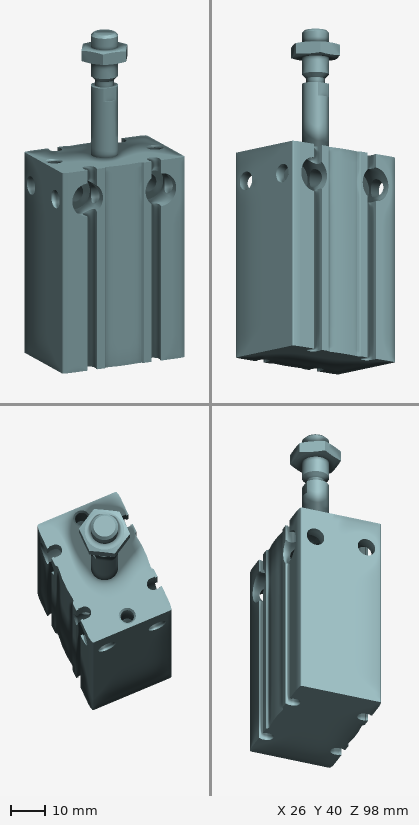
import cadquery as cq
import math

BODY_X = 26.0
BODY_Y = 40.0
BODY_HEIGHT = 61.0
HALF_X = BODY_X / 2
HALF_Y = BODY_Y / 2

EDGE_INSET = 0.4
EASE_START_Y = 17.4
CORNER_RADIUS = 0.5

RECESS_HALF_WIDTH = 6.4
RECESS_SHOULDER_Y = 5.9
RECESS_SHOULDER_DEPTH = 0.5
RECESS_FLOOR_Y = 5.3
RECESS_DEPTH = 0.6
RECESS_CROWN_DEPTH = 0.2

GROOVE_Y = 10.5
GROOVE_WIDTH = 3.7
GROOVE_DEPTH = 3.9
GROOVE_MOUTH_WIDTH = 3.1
GROOVE_LIP = 0.7

MOUNT_HOLE_DIAMETER = 5.5
MOUNT_HOLE_Z = BODY_HEIGHT - 9.0
CROSS_HOLE_Y = 12.0
COUNTERBORE_DIAMETER = 10.0
COUNTERBORE_DEPTH = 8.5
LONG_HOLE_X = 8.0

SCREW_HOLE_Y = 16.5
SCREW_HOLE_DIAMETER = 3.9
SCREW_HOLE_MOUTH_DIAMETER = 5.0
SCREW_HOLE_DEPTH = 8.0
DRILL_POINT_ANGLE = 118

ROD_DIAMETER = 8.0
ROD_RADIUS = ROD_DIAMETER / 2
ROD_TOP_Z = 98
ROD_BOTTOM_Z = BODY_HEIGHT - 9.8
ROD_TIP_DIAMETER = 6.5
NECK_DIAMETER = 5.5
NECK_BOTTOM_Z = 82.0
NECK_TOP_Z = 83.7
FLAT_WIDTH = 7.0
FLAT_BOTTOM_Z = 78.0

NUT_BOTTOM_Z = 89.9
NUT_HEIGHT = 3.9
NUT_ACROSS_FLATS = 13.0
NUT_FACE_DIAMETER = 11.6
NUT_CORNER_DROP = 0.4


def ease_middle(side_x, side_y):
    """Middle point of an eased corner arc that is tangent to the X side."""
    rise = HALF_Y - EASE_START_Y
    radius = (rise**2 + EDGE_INSET**2) / (2 * EDGE_INSET)
    half_angle = math.asin(rise / radius) / 2
    x = HALF_X - radius * (1 - math.cos(half_angle))
    y = EASE_START_Y + radius * math.sin(half_angle)
    return (side_x * x, side_y * y)


def make_profile():
    """Extrude the housing outline, drawn once round from the middle of the +X side."""
    floor_x = HALF_X - RECESS_DEPTH
    crown_x = HALF_X - RECESS_CROWN_DEPTH
    shoulder_x = HALF_X - RECESS_SHOULDER_DEPTH
    edge_x = HALF_X - EDGE_INSET
    outline = cq.Workplane("XY").moveTo(floor_x, -RECESS_FLOOR_Y)
    for side in (1, -1):
        outline = (
            outline
            .threePointArc((side * crown_x, 0), (side * floor_x, side * RECESS_FLOOR_Y))
            .lineTo(side * shoulder_x, side * RECESS_SHOULDER_Y)
            .lineTo(side * HALF_X, side * RECESS_HALF_WIDTH)
            .lineTo(side * HALF_X, side * EASE_START_Y)
            .threePointArc(ease_middle(side, side), (side * edge_x, side * HALF_Y))
            .lineTo(-side * edge_x, side * HALF_Y)
            .threePointArc(ease_middle(-side, side), (-side * HALF_X, side * EASE_START_Y))
            .lineTo(-side * HALF_X, side * RECESS_HALF_WIDTH)
            .lineTo(-side * shoulder_x, side * RECESS_SHOULDER_Y)
            .lineTo(-side * floor_x, side * RECESS_FLOOR_Y)
        )
    profile = outline.close().extrude(BODY_HEIGHT)
    corners = cq.selectors.BoxSelector(
        (-BODY_X, HALF_Y - CORNER_RADIUS, 0), (BODY_X, BODY_Y, BODY_HEIGHT)
    )
    opposite_corners = cq.selectors.BoxSelector(
        (-BODY_X, -BODY_Y, 0), (BODY_X, CORNER_RADIUS - HALF_Y, BODY_HEIGHT)
    )
    return profile.edges("|Z").edges(corners + opposite_corners).fillet(CORNER_RADIUS)


def make_groove(side_x, y):
    """Cutter for one round-bottomed groove with a narrower mouth."""
    channel_length = GROOVE_DEPTH - GROOVE_LIP - GROOVE_WIDTH / 2
    bottom_center_x = side_x * (HALF_X - GROOVE_DEPTH + GROOVE_WIDTH / 2)
    channel_x = bottom_center_x + side_x * channel_length / 2
    mouth_x = bottom_center_x + side_x * GROOVE_DEPTH / 2
    bottom = cq.Workplane("XY").center(bottom_center_x, y).circle(GROOVE_WIDTH / 2).extrude(BODY_HEIGHT)
    channel = cq.Workplane("XY").center(channel_x, y).rect(channel_length, GROOVE_WIDTH).extrude(BODY_HEIGHT)
    mouth = cq.Workplane("XY").center(mouth_x, y).rect(GROOVE_DEPTH, GROOVE_MOUTH_WIDTH).extrude(BODY_HEIGHT)
    return bottom.union(channel).union(mouth)


def make_cross_hole(y):
    """Cutter for one through hole along X, counterbored from both ends."""
    start = cq.Workplane("YZ", origin=(-HALF_X, y, MOUNT_HOLE_Z))
    hole = start.circle(MOUNT_HOLE_DIAMETER / 2).extrude(BODY_X)
    counterbore = start.circle(COUNTERBORE_DIAMETER / 2).extrude(COUNTERBORE_DEPTH)
    return hole.union(counterbore).union(counterbore.mirror("YZ"))


def make_long_hole(x):
    """Cutter for one plain through hole along Y."""
    start = cq.Workplane("XZ", origin=(x, HALF_Y, MOUNT_HOLE_Z))
    return start.circle(MOUNT_HOLE_DIAMETER / 2).extrude(BODY_Y)


def make_screw_hole(y):
    """Cutter for one blind hole with a chamfered mouth and a drill point."""
    radius = SCREW_HOLE_DIAMETER / 2
    mouth_radius = SCREW_HOLE_MOUTH_DIAMETER / 2
    floor_z = BODY_HEIGHT - SCREW_HOLE_DEPTH
    point_depth = radius / math.tan(math.radians(DRILL_POINT_ANGLE / 2))
    half_section = [
        (0, floor_z - point_depth),
        (radius, floor_z),
        (radius, BODY_HEIGHT - (mouth_radius - radius)),
        (mouth_radius, BODY_HEIGHT),
        (0, BODY_HEIGHT),
    ]
    return revolve_about_z(half_section).translate((0, y, 0))


def revolve_about_z(half_section):
    """Solid of revolution about Z from (radius, z) points."""
    return cq.Workplane("XZ").polyline(half_section).close().revolve(360, (0, 0), (0, 1))


def make_housing():
    housing = make_profile()
    for side in (1, -1):
        for groove_side in (1, -1):
            housing = housing.cut(make_groove(groove_side, side * GROOVE_Y))
        housing = housing.cut(make_cross_hole(side * CROSS_HOLE_Y))
        housing = housing.cut(make_long_hole(side * LONG_HOLE_X))
        housing = housing.cut(make_screw_hole(side * SCREW_HOLE_Y))
    rod_hole = (
        cq.Workplane("XY", origin=(0, 0, ROD_BOTTOM_Z))
        .circle(ROD_RADIUS)
        .extrude(BODY_HEIGHT - ROD_BOTTOM_Z)
    )
    return housing.cut(rod_hole)


def make_rod():
    """Rod with wrench flats, a neck and a chamfered stud."""
    tip_radius = ROD_TIP_DIAMETER / 2
    neck_radius = NECK_DIAMETER / 2
    half_section = [
        (0, ROD_BOTTOM_Z),
        (ROD_RADIUS, ROD_BOTTOM_Z),
        (ROD_RADIUS, NECK_BOTTOM_Z),
        (neck_radius, NECK_BOTTOM_Z),
        (neck_radius, NECK_TOP_Z),
        (ROD_RADIUS, NECK_TOP_Z + ROD_RADIUS - neck_radius),
        (ROD_RADIUS, ROD_TOP_Z - (ROD_RADIUS - tip_radius)),
        (tip_radius, ROD_TOP_Z),
        (0, ROD_TOP_Z),
    ]
    rod = revolve_about_z(half_section)
    flat_height = NECK_BOTTOM_Z - FLAT_BOTTOM_Z
    for side in (1, -1):
        flat = (
            cq.Workplane("XY", origin=(side * (FLAT_WIDTH + ROD_DIAMETER) / 2, 0, FLAT_BOTTOM_Z))
            .rect(ROD_DIAMETER, ROD_DIAMETER)
            .extrude(flat_height)
        )
        rod = rod.cut(flat)
    return rod


def make_nut():
    """Hexagon nut with corners along Y and both faces chamfered."""
    corner_radius = NUT_ACROSS_FLATS / math.sqrt(3)
    face_radius = NUT_FACE_DIAMETER / 2
    top_z = NUT_BOTTOM_Z + NUT_HEIGHT
    hexagon = (
        cq.Workplane("XY", origin=(0, 0, NUT_BOTTOM_Z))
        .polygon(6, 2 * corner_radius)
        .extrude(NUT_HEIGHT)
        .rotate((0, 0, 0), (0, 0, 1), 90)
    )
    chamfer_envelope = revolve_about_z([
        (ROD_RADIUS, NUT_BOTTOM_Z),
        (face_radius, NUT_BOTTOM_Z),
        (corner_radius, NUT_BOTTOM_Z + NUT_CORNER_DROP),
        (corner_radius, top_z - NUT_CORNER_DROP),
        (face_radius, top_z),
        (ROD_RADIUS, top_z),
    ])
    return hexagon.intersect(chamfer_envelope)


housing = make_housing()
rod = make_rod()
nut = make_nut()

result = cq.Compound.makeCompound([housing.val(), rod.val(), nut.val()])